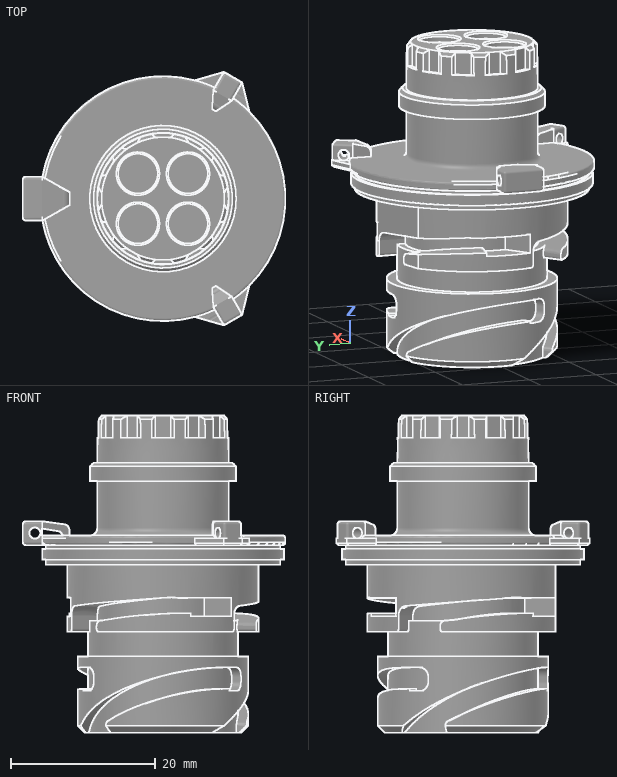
import cadquery as cq
import math

OVERALL_HEIGHT = 44.0
SYMMETRY_COUNT = 3
SECTION_STEP = 8.0
MARGIN = 1.0

NOSE_RADIUS = 11.85
NOSE_TOP = 10.58
NOSE_CHAMFER = 1.0
NECK_RADIUS = 10.42

BODY_RADIUS = 13.3
BODY_BOTTOM = 14.0
BODY_FLAT_ANGLES = (75.0, 124.0)

GROOVE_RADIUS = 16.3
SEAL_RADIUS = 16.8
FLANGE_RADIUS = 17.0
LIP_BOTTOM = 23.3
SEAL_BOTTOM = 24.0
SEAL_TOP = 25.5
FLANGE_BOTTOM = 26.0
FLANGE_TOP = 27.38
FLANGE_ROUND = 0.4

BARREL_RADIUS = 9.15
BARREL_FILLET = 1.0
COLLAR_RADIUS = 10.15
COLLAR_BOTTOM = 34.9
COLLAR_TOP = 37.45
COLLAR_CHAMFER = 0.52
CAP_RADIUS = 9.07
CAP_CHAMFER = 0.55

NOTCH_PAIRS = 6
NOTCH_BOTTOM = 40.9
NOTCH_FLOOR_DISTANCE = 8.5
NOTCH_RIM_DISTANCE = 8.9
NOTCH_RIM_HALF_WIDTH = 1.5
NARROW_NOTCH_FLOOR_HALF_WIDTH = 0.83
WIDE_NOTCH_FLOOR_HALF_WIDTH = 1.1

CAVITY_OFFSET = 3.47
CAVITY_RADIUS = 2.75
CAVITY_CHAMFER = 0.25
CAVITY_DEPTH = 1.0

CAM_APEX_ANGLE = -45.0
CAM_APEX_HEIGHT = 7.57
CAM_DROP_RATE = 0.00059
CAM_WIDTH = 2.97
CAM_START_ANGLE = -178.0
CAM_MOUTH_END_ANGLE = -132.0
CAM_TIP_ROUND = 0.8
CAM_MOUTH_BOTTOM = -4.0
CAM_POCKET_ANGLES = (-38.5, -24.0)
CAM_POCKET_BOTTOM = 5.8
CAM_POCKET_ROUND = 1.3

CHANNEL_FLOOR_RADIUS = 9.27
CHANNEL_SHOULDER = 15.56
ROOF_HEIGHT = 18.75
ROOF_SLOPE = 0.0168
ROOF_LEVEL_ANGLE = -88.0
RAMP_TOP_HEIGHT = 16.6
RAMP_TOP_ANGLE = -73.0
RAMP_DROP_RATE = 0.00033
DETENT_BOTTOM = 16.13
CHANNEL_START_ANGLE = -172.0
CHANNEL_END_ANGLE = -35.0
GAP_ANGLE = -148.0
GAP_HALF_WIDTH = 3.25
GAP_ROUND = 1.3
TOOTH_ROUND = 0.5
TOOTH_TIP_ROUND = 0.8
TOOTH_RUNOUT = 0.05
WEB_THICKNESS = 0.53

LUG_ANGLE = 180 - 360 / SYMMETRY_COUNT
LUG_OUTER = 19.45
LUG_TOP = 29.35
LUG_ROUND = 0.45
EYE_RADIUS = 0.75
EYE_DISTANCE = 17.76
EYE_HEIGHT = 27.7
WIDE_LUG_INNER = 16.75
WIDE_LUG_HALF_WIDTH = 3.06
WIDE_LUG_TIP = 12.95
WIDE_LUG_TIP_HALF_WIDTH = 0.9
NARROW_LUG_INNER = 16.5
NARROW_LUG_HALF_WIDTH = 1.47
NARROW_LUG_TIP = 14.15
NARROW_LUG_TIP_HALF_WIDTH = 0.3
FINGER_THICKNESS = 1.05
FINGER_DROP = 0.4
FINGER_NOSE = 0.9
FINGER_HOOK_REACH = 1.35
EAR_CHAMFER = 0.3
EAR_ROOT_RADIUS = 16.4
EAR_ROOT_HALF_WIDTH = 4.4


def about_axis(shape, angle):
    """Turn a shape around the Z axis."""
    return shape.rotate((0, 0, 0), (0, 0, 1), angle)


def repeated(shape, count):
    """Evenly spaced copies of a shape around the Z axis."""
    return [about_axis(shape, i * 360.0 / count) for i in range(count)]


def polar(radius, angle, height):
    """Point given by radius, angle in degrees and height."""
    turn = math.radians(angle)
    return cq.Vector(radius * math.cos(turn), radius * math.sin(turn), height)


def ring(inner, outer, bottom, top):
    """Tube standing on the Z axis."""
    return cq.Workplane("XY", origin=(0, 0, bottom)).circle(outer).circle(inner).extrude(top - bottom)


def wrapped_channel(floor_radius, outer, start, end, low, high):
    """Solid wrapped around Z, from a cylindrical floor out to a radius, between two edge heights.

    The edge heights are functions of the angle. A lofted body that is deeper than needed on both
    sides is trimmed by a ring, so that the floor is a true cylinder.
    """
    count = math.ceil((end - start) / SECTION_STEP)
    sections = []
    for i in range(count + 1):
        angle = start + (end - start) * i / count
        corners = [
            polar(floor_radius - MARGIN, angle, low(angle)),
            polar(outer + MARGIN, angle, low(angle)),
            polar(outer + MARGIN, angle, high(angle)),
            polar(floor_radius - MARGIN, angle, high(angle)),
        ]
        sections.append(cq.Wire.makePolygon(corners, close=True))
    lofted = cq.Workplane(cq.Solid.makeLoft(sections))
    return lofted.intersect(ring(floor_radius, outer, -OVERALL_HEIGHT, OVERALL_HEIGHT))


def nearest(point):
    """Selector for the edge or face closest to a point."""
    return cq.selectors.NearestToPointSelector(point.toTuple())


def radial_block(side_low, side_high, bottom, top, angle):
    """Block reaching outward from the axis along an angle, between two side offsets."""
    block = cq.Workplane("XY").box(FLANGE_RADIUS, side_high - side_low, top - bottom, centered=False)
    return about_axis(block.translate((0, side_low, bottom)), angle)


def nose():
    """Nose drum and neck."""
    drum = (
        cq.Workplane("XY")
        .circle(NOSE_RADIUS)
        .extrude(NOSE_TOP)
        .faces("<Z")
        .chamfer(NOSE_CHAMFER)
    )
    neck = cq.Workplane("XY", origin=(0, 0, NOSE_TOP)).circle(NECK_RADIUS).extrude(BODY_BOTTOM - NOSE_TOP)
    return drum.union(neck)


def flange_and_barrel():
    """Flange with its seal ring, and the collared barrel and cap above it."""
    cap_edge = CAP_RADIUS - CAP_CHAMFER
    profile = (
        cq.Workplane("XZ")
        .moveTo(0, LIP_BOTTOM)
        .lineTo(GROOVE_RADIUS, LIP_BOTTOM)
        .lineTo(GROOVE_RADIUS, SEAL_BOTTOM)
        .lineTo(SEAL_RADIUS, SEAL_BOTTOM)
        .lineTo(SEAL_RADIUS, SEAL_TOP)
        .lineTo(GROOVE_RADIUS, SEAL_TOP)
        .lineTo(GROOVE_RADIUS, FLANGE_BOTTOM)
        .lineTo(FLANGE_RADIUS - FLANGE_ROUND, FLANGE_BOTTOM)
        .radiusArc((FLANGE_RADIUS, FLANGE_BOTTOM + FLANGE_ROUND), -FLANGE_ROUND)
        .lineTo(FLANGE_RADIUS, FLANGE_TOP - FLANGE_ROUND)
        .radiusArc((FLANGE_RADIUS - FLANGE_ROUND, FLANGE_TOP), -FLANGE_ROUND)
        .lineTo(BARREL_RADIUS + BARREL_FILLET, FLANGE_TOP)
        .radiusArc((BARREL_RADIUS, FLANGE_TOP + BARREL_FILLET), BARREL_FILLET)
        .lineTo(BARREL_RADIUS, COLLAR_BOTTOM)
        .lineTo(COLLAR_RADIUS, COLLAR_BOTTOM)
        .lineTo(COLLAR_RADIUS, COLLAR_TOP - COLLAR_CHAMFER)
        .lineTo(COLLAR_RADIUS - COLLAR_CHAMFER, COLLAR_TOP)
        .lineTo(BARREL_RADIUS, COLLAR_TOP)
        .lineTo(CAP_RADIUS, OVERALL_HEIGHT - CAP_CHAMFER)
        .lineTo(cap_edge, OVERALL_HEIGHT)
        .lineTo(0, OVERALL_HEIGHT)
        .close()
    )
    return profile.revolve(360, (0, 0, 0), (0, 1, 0))


def bayonet_body():
    """Cylinder with a chord flat along one side."""
    start, end = (polar(BODY_RADIUS, angle, 0) for angle in BODY_FLAT_ANGLES)
    far_side = polar(BODY_RADIUS, sum(BODY_FLAT_ANGLES) / 2 + 180, 0)
    return (
        cq.Workplane("XY", origin=(0, 0, BODY_BOTTOM))
        .moveTo(start.x, start.y)
        .threePointArc((far_side.x, far_side.y), (end.x, end.y))
        .close()
        .extrude(LIP_BOTTOM - BODY_BOTTOM)
    )


def grip_notch(floor_half_width):
    """Flat floored notch whose sides slope out through the rim width common to all notches."""
    side_slope = (NOTCH_RIM_HALF_WIDTH - floor_half_width) / (NOTCH_RIM_DISTANCE - NOTCH_FLOOR_DISTANCE)
    mouth_distance = BARREL_RADIUS + MARGIN
    mouth_half_width = floor_half_width + side_slope * (mouth_distance - NOTCH_FLOOR_DISTANCE)
    return (
        cq.Workplane("XY", origin=(0, 0, NOTCH_BOTTOM))
        .polyline([
            (NOTCH_FLOOR_DISTANCE, -floor_half_width),
            (mouth_distance, -mouth_half_width),
            (mouth_distance, mouth_half_width),
            (NOTCH_FLOOR_DISTANCE, floor_half_width),
        ])
        .close()
        .extrude(OVERALL_HEIGHT - NOTCH_BOTTOM + MARGIN)
    )


def grip_notches():
    """Narrow and wide notches taking turns around the cap."""
    narrow = grip_notch(NARROW_NOTCH_FLOOR_HALF_WIDTH)
    wide = about_axis(grip_notch(WIDE_NOTCH_FLOOR_HALF_WIDTH), 180 / NOTCH_PAIRS)
    return repeated(narrow, NOTCH_PAIRS) + repeated(wide, NOTCH_PAIRS)


def contact_cavities():
    """Four shallow chamfered bores in the contact face."""
    bore = cq.Solid.makeCylinder(
        CAVITY_RADIUS, CAVITY_DEPTH, cq.Vector(0, 0, OVERALL_HEIGHT - CAVITY_DEPTH))
    lead_in = cq.Solid.makeCone(
        CAVITY_RADIUS, CAVITY_RADIUS + CAVITY_CHAMFER, CAVITY_CHAMFER,
        cq.Vector(0, 0, OVERALL_HEIGHT - CAVITY_CHAMFER))
    cavity = cq.Workplane(bore).union(cq.Workplane(lead_in))
    return [
        cavity.translate((side_x * CAVITY_OFFSET, side_y * CAVITY_OFFSET, 0))
        for side_x in (-1, 1)
        for side_y in (-1, 1)
    ]


def cam_edge_height(angle, side):
    """Height of the upper (side 1) or lower (side -1) edge of a cam slot of constant width."""
    from_apex = min(angle - CAM_APEX_ANGLE, 0.0)
    centre = CAM_APEX_HEIGHT - CAM_DROP_RATE * from_apex ** 2
    arc_per_degree = NOSE_RADIUS * math.pi / 180
    slope = 2 * CAM_DROP_RATE * from_apex / arc_per_degree
    return centre + side * CAM_WIDTH / 2 * math.hypot(1, slope)


def cam_slot():
    """Slot rising from the nose face to a slightly deeper rounded end pocket."""
    inner = NECK_RADIUS
    outer = NOSE_RADIUS + MARGIN
    pocket_start, pocket_end = CAM_POCKET_ANGLES
    track = wrapped_channel(
        inner, outer, CAM_MOUTH_END_ANGLE, pocket_start,
        lambda angle: cam_edge_height(angle, -1),
        lambda angle: cam_edge_height(angle, 1))
    mouth = wrapped_channel(
        inner, outer, CAM_START_ANGLE, CAM_MOUTH_END_ANGLE,
        lambda angle: CAM_MOUTH_BOTTOM,
        lambda angle: cam_edge_height(angle, 1))
    pocket = wrapped_channel(
        inner, outer, pocket_start, pocket_end,
        lambda angle: CAM_POCKET_BOTTOM,
        lambda angle: CAM_APEX_HEIGHT + CAM_WIDTH / 2)
    for height in (CAM_POCKET_BOTTOM, CAM_APEX_HEIGHT + CAM_WIDTH / 2):
        corner = polar((inner + outer) / 2, pocket_end, height)
        pocket = pocket.edges(nearest(corner)).fillet(CAM_POCKET_ROUND)
    return [track, mouth, pocket]


def roof_height(angle):
    """Height of the channel roof, which climbs and then runs level."""
    return ROOF_HEIGHT - ROOF_SLOPE * max(ROOF_LEVEL_ANGLE - angle, 0.0)


def ramp_height(angle):
    """Height of the channel ramp, which starts at the shoulder and flattens toward its top."""
    from_top = min(angle - RAMP_TOP_ANGLE, 0.0)
    return max(RAMP_TOP_HEIGHT - RAMP_DROP_RATE * from_top ** 2, CHANNEL_SHOULDER)


def entry_gap():
    """Parallel sided gap whose walls flare out at the bottom of the body."""
    base = BODY_BOTTOM - TOOTH_RUNOUT
    flare = GAP_HALF_WIDTH + TOOTH_ROUND
    gap = (
        cq.Workplane("YZ")
        .moveTo(-flare, base)
        .radiusArc((-GAP_HALF_WIDTH, base + TOOTH_ROUND), -TOOTH_ROUND)
        .lineTo(-GAP_HALF_WIDTH, LIP_BOTTOM)
        .lineTo(GAP_HALF_WIDTH, LIP_BOTTOM)
        .lineTo(GAP_HALF_WIDTH, base + TOOTH_ROUND)
        .radiusArc((flare, base), -TOOTH_ROUND)
        .close()
        .extrude(FLANGE_RADIUS)
    )
    return about_axis(gap, GAP_ANGLE)


def bayonet_channel():
    """Channel from an entry gap, along a ramp, to a detent behind the next gap's web."""
    outer = BODY_RADIUS + MARGIN
    ramp = wrapped_channel(
        CHANNEL_FLOOR_RADIUS, outer, CHANNEL_START_ANGLE, RAMP_TOP_ANGLE,
        ramp_height, roof_height)
    detent = wrapped_channel(
        CHANNEL_FLOOR_RADIUS, outer, RAMP_TOP_ANGLE, CHANNEL_END_ANGLE,
        lambda angle: DETENT_BOTTOM, roof_height)
    shoulder_ring = ring(
        NECK_RADIUS, outer, BODY_BOTTOM - MARGIN, CHANNEL_SHOULDER + MARGIN / 2)
    entry = entry_gap().intersect(shoulder_ring)
    before_gap = radial_block(
        -BODY_RADIUS, -GAP_HALF_WIDTH, BODY_BOTTOM - MARGIN, LIP_BOTTOM, GAP_ANGLE)
    after_web = radial_block(
        -GAP_HALF_WIDTH - WEB_THICKNESS, GAP_HALF_WIDTH * 2, BODY_BOTTOM - MARGIN, LIP_BOTTOM,
        GAP_ANGLE + 360 / SYMMETRY_COUNT)
    wall_offset = math.degrees(math.asin(GAP_HALF_WIDTH / NECK_RADIUS))
    wall_top = GAP_ANGLE - wall_offset
    roof_corner = polar((CHANNEL_FLOOR_RADIUS + outer) / 2, wall_top, roof_height(wall_top))
    ramp = ramp.cut(before_gap)
    ramp = ramp.edges(nearest(roof_corner)).fillet(GAP_ROUND)
    return [ramp, detent.cut(after_web), entry]


def lug(inner, half_width, tip, tip_half_width, hooked):
    """Block outside the flange with an eye and a tapering finger reaching in and down onto the flange.

    A hooked finger touches the flange only at its tip, otherwise the finger is solid underneath.
    """
    block = (
        cq.Workplane("XY", origin=(inner, -half_width, FLANGE_BOTTOM))
        .box(LUG_OUTER - inner, 2 * half_width, LUG_TOP - FLANGE_BOTTOM, centered=False)
        .edges(">X or |X")
        .fillet(LUG_ROUND)
    )
    finger_top = LUG_TOP - FINGER_DROP
    finger_profile = (
        cq.Workplane("XZ")
        .moveTo(inner, LUG_TOP)
        .lineTo(tip + FINGER_NOSE, finger_top)
        .radiusArc((tip, finger_top - FINGER_NOSE), -FINGER_NOSE)
        .lineTo(tip, FLANGE_TOP)
    )
    if hooked:
        finger_profile = (
            finger_profile
            .lineTo(tip + FINGER_NOSE, FLANGE_TOP)
            .lineTo(tip + FINGER_HOOK_REACH, finger_top - FINGER_THICKNESS)
            .lineTo(inner, LUG_TOP - FINGER_THICKNESS)
        )
    else:
        finger_profile = finger_profile.lineTo(inner, FLANGE_TOP)
    finger = finger_profile.close().extrude(half_width, both=True)
    finger_plan = (
        cq.Workplane("XY", origin=(0, 0, FLANGE_TOP))
        .polyline([
            (inner, -half_width),
            (inner, half_width),
            (tip, tip_half_width),
            (tip, -tip_half_width),
        ])
        .close()
        .extrude(LUG_TOP - FLANGE_TOP)
    )
    return block.union(finger.intersect(finger_plan))


def eye(start, end):
    """Tangential wire hole through a lug."""
    return (
        cq.Workplane("XZ", origin=(EYE_DISTANCE, start, EYE_HEIGHT))
        .circle(EYE_RADIUS)
        .extrude(start - end)
    )


def wide_lug():
    """Lug with a hooked finger and its through eye, on the -X side."""
    plain = lug(
        WIDE_LUG_INNER, WIDE_LUG_HALF_WIDTH, WIDE_LUG_TIP, WIDE_LUG_TIP_HALF_WIDTH, hooked=True)
    return about_axis(plain, 180), about_axis(eye(-LUG_OUTER, LUG_OUTER), 180)


def narrow_lug(angle):
    """Lug standing on an ear of the flange, with its eye run out across one side of the ear."""
    ear = (
        cq.Workplane("XY", origin=(0, 0, FLANGE_BOTTOM))
        .polyline([
            (BODY_RADIUS, -EAR_ROOT_HALF_WIDTH),
            (EAR_ROOT_RADIUS, -EAR_ROOT_HALF_WIDTH),
            (LUG_OUTER, -NARROW_LUG_HALF_WIDTH),
            (LUG_OUTER, NARROW_LUG_HALF_WIDTH),
            (EAR_ROOT_RADIUS, EAR_ROOT_HALF_WIDTH),
            (BODY_RADIUS, EAR_ROOT_HALF_WIDTH),
        ])
        .close()
        .extrude(FLANGE_TOP - FLANGE_ROUND - FLANGE_BOTTOM)
        .faces("<Z").edges("not <X").chamfer(EAR_CHAMFER)
    )
    plain = lug(
        NARROW_LUG_INNER, NARROW_LUG_HALF_WIDTH, NARROW_LUG_TIP, NARROW_LUG_TIP_HALF_WIDTH,
        hooked=False)
    hole = eye(-LUG_OUTER, NARROW_LUG_HALF_WIDTH)
    return about_axis(plain.union(ear), angle), about_axis(hole, angle)


def cut_all(body, cutters):
    """Cut every cutter from a body."""
    for cutter in cutters:
        body = body.cut(cutter)
    return body


def cut_in_threes(body, cutters):
    """Cut every cutter and its copies around the axis from a body."""
    for cutter in cutters:
        body = cut_all(body, repeated(cutter, SYMMETRY_COUNT))
    return body


def round_in_threes(body, radius, corner_radius, corner_angle, corner_height):
    """Fillet the edge nearest a corner, and its copies around the axis."""
    for i in range(SYMMETRY_COUNT):
        corner = polar(corner_radius, corner_angle + i * 360 / SYMMETRY_COUNT, corner_height)
        body = body.edges(nearest(corner)).fillet(radius)
    return body


slotted_nose = cut_in_threes(nose(), cam_slot())
slotted_nose = round_in_threes(
    slotted_nose, CAM_TIP_ROUND, (NECK_RADIUS + NOSE_RADIUS) / 2,
    CAM_MOUTH_END_ANGLE, cam_edge_height(CAM_MOUTH_END_ANGLE, -1))
channelled_body = cut_in_threes(bayonet_body(), bayonet_channel())
tooth_middle = (NECK_RADIUS + BODY_RADIUS) / 2
tooth_tip_angle = GAP_ANGLE + math.degrees(math.asin(GAP_HALF_WIDTH / tooth_middle))
channelled_body = round_in_threes(
    channelled_body, TOOTH_TIP_ROUND, tooth_middle, tooth_tip_angle, CHANNEL_SHOULDER)
upper = cut_all(flange_and_barrel(), grip_notches() + contact_cavities())
for lug_body, lug_eye in (wide_lug(), narrow_lug(LUG_ANGLE), narrow_lug(-LUG_ANGLE)):
    upper = upper.union(lug_body).cut(lug_eye)
result = slotted_nose.union(channelled_body).union(upper)